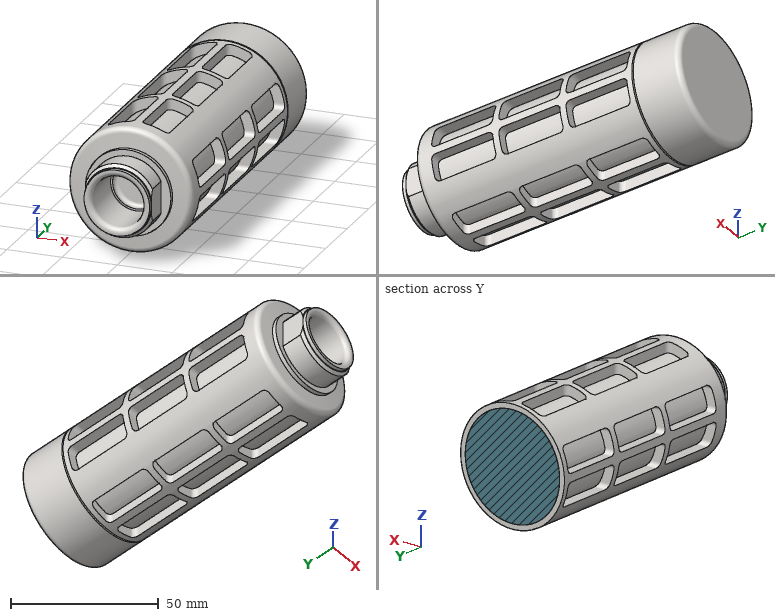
import cadquery as cq
import math

TOTAL_LENGTH = 120.7
BODY_RADIUS = 45.0 / 2
RIM_FILLET = 2.0

TIP_COLLAR_LENGTH = 1.5
FLANGE_Y = 10.5
END_FACE_INNER_Y = 12.1
END_FACE_OUTER_Y = 12.4
GROOVE_START_Y = 101.3
GROOVE_WIDTH = 0.6
GROOVE_RADIUS = 41.0 / 2

FLANGE_RADIUS = 31.0 / 2
NECK_RADIUS = 13.3
NECK_CHAMFER = 1.1
TIP_RADIUS = 23.8 / 2
FLAT_SPACING = 23.9

BORE_RADIUS = 18.6 / 2
MOUTH_FILLET = 1.8
BORE_DEPTH = 18.1
BORE_END_RADIUS = 8.6
BORE_END_DEPTH = 2.4
BORE_END_FILLET = 1.3

WINDOW_LENGTH = 25.0
WINDOW_WIDTH = 9.5
WINDOW_CORNER = 1.8
WINDOW_FLOOR_RADIUS = 18.6
WINDOW_ROWS = 3
FIRST_WINDOW_Y = 31.6
ROW_PITCH = 27.5
PAIR_PITCH = 12.7
SIDES = 4
CUT_CLEARANCE = 1.2

ARC_MIDPOINT = 1 - math.sqrt(0.5)


def revolve_about_y(profile):
    return profile.close().revolve(360, (0, 0, 0), (0, 1, 0))


def make_body():
    """Turned outside: chamfered neck, flange, body with a conical end face, groove and end cap."""
    chamfer_end = TIP_COLLAR_LENGTH + NECK_CHAMFER
    groove_end = GROOVE_START_Y + GROOVE_WIDTH
    diagonal = RIM_FILLET * ARC_MIDPOINT
    profile = (
        cq.Workplane("XY")
        .moveTo(0, 0)
        .lineTo(TIP_RADIUS, 0)
        .lineTo(TIP_RADIUS, TIP_COLLAR_LENGTH)
        .lineTo(NECK_RADIUS - NECK_CHAMFER, TIP_COLLAR_LENGTH)
        .lineTo(NECK_RADIUS, chamfer_end)
        .lineTo(NECK_RADIUS, FLANGE_Y)
        .lineTo(FLANGE_RADIUS, FLANGE_Y)
        .lineTo(FLANGE_RADIUS, END_FACE_INNER_Y)
        .lineTo(BODY_RADIUS - RIM_FILLET, END_FACE_OUTER_Y)
        .threePointArc(
            (BODY_RADIUS - diagonal, END_FACE_OUTER_Y + diagonal),
            (BODY_RADIUS, END_FACE_OUTER_Y + RIM_FILLET),
        )
        .lineTo(BODY_RADIUS, GROOVE_START_Y)
        .lineTo(GROOVE_RADIUS, GROOVE_START_Y)
        .lineTo(GROOVE_RADIUS, groove_end)
        .lineTo(BODY_RADIUS, groove_end)
        .lineTo(BODY_RADIUS, TOTAL_LENGTH - RIM_FILLET)
        .threePointArc(
            (BODY_RADIUS - diagonal, TOTAL_LENGTH - diagonal),
            (BODY_RADIUS - RIM_FILLET, TOTAL_LENGTH),
        )
        .lineTo(0, TOTAL_LENGTH)
    )
    return revolve_about_y(profile)


def make_neck_flats():
    """Two blocks that trim the neck to a pair of wrench flats facing +X and -X."""
    block_width = NECK_RADIUS
    block_offset = (FLAT_SPACING + block_width) / 2
    return (
        cq.Workplane("XY")
        .pushPoints([(-block_offset, FLANGE_Y / 2), (block_offset, FLANGE_Y / 2)])
        .box(block_width, FLANGE_Y, 2 * NECK_RADIUS)
    )


def make_bore():
    """Blind inlet bore with a rounded mouth and a narrower, rounded bottom."""
    floor_y = BORE_DEPTH + BORE_END_DEPTH
    mouth_diagonal = MOUTH_FILLET * ARC_MIDPOINT
    end_diagonal = BORE_END_FILLET * ARC_MIDPOINT
    profile = (
        cq.Workplane("XY")
        .moveTo(0, 0)
        .lineTo(BORE_RADIUS + MOUTH_FILLET, 0)
        .threePointArc((BORE_RADIUS + mouth_diagonal, mouth_diagonal), (BORE_RADIUS, MOUTH_FILLET))
        .lineTo(BORE_RADIUS, BORE_DEPTH)
        .lineTo(BORE_END_RADIUS, BORE_DEPTH)
        .lineTo(BORE_END_RADIUS, floor_y - BORE_END_FILLET)
        .threePointArc(
            (BORE_END_RADIUS - end_diagonal, floor_y - end_diagonal),
            (BORE_END_RADIUS - BORE_END_FILLET, floor_y),
        )
        .lineTo(0, floor_y)
    )
    return revolve_about_y(profile)


def make_windows():
    """All window pockets; their floors lie on one inner cylinder."""
    row_centres = [FIRST_WINDOW_Y + row * ROW_PITCH for row in range(WINDOW_ROWS)]
    centres = [(x, y) for x in (-PAIR_PITCH / 2, PAIR_PITCH / 2) for y in row_centres]
    one_side = (
        cq.Workplane("XY")
        .pushPoints(centres)
        .rect(WINDOW_WIDTH, WINDOW_LENGTH)
        .extrude(BODY_RADIUS + CUT_CLEARANCE)
        .edges("|Z")
        .fillet(WINDOW_CORNER)
    )
    core = cq.Workplane("XZ").circle(WINDOW_FLOOR_RADIUS).extrude(-TOTAL_LENGTH)
    one_side = one_side.cut(core)
    windows = one_side
    for side in range(1, SIDES):
        windows = windows.add(one_side.rotate((0, 0, 0), (0, 1, 0), side * 360 / SIDES))
    return windows.combine()


result = make_body().cut(make_neck_flats()).cut(make_bore()).cut(make_windows())